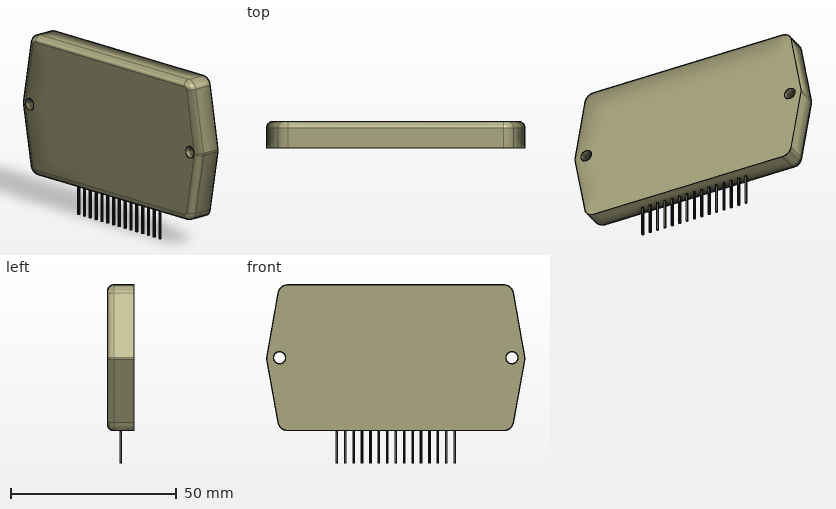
import cadquery as cq
import math

body_length = 77.85
body_depth = 8.0
body_height = 44.0
end_taper = 3.9
tip_drop = 0.2
corner_radius = 3.0
tip_radius = 2.0
rear_edge_radius = 1.95

hole_diameter = 3.6
hole_spacing = 70.0

overall_height = 53.65
pin_count = 15
pin_row_span = 35.5
pin_pitch = pin_row_span / (pin_count - 1)
pin_width = 0.5
pin_embed = 1.55

tip_half_turn = math.atan(2 * end_taper / body_height)
tip_loss = tip_radius * (1 / math.cos(tip_half_turn) - 1)
sharp_tip_x = body_length / 2 + tip_loss
shoulder_x = body_length / 2 - end_taper
half_height = body_height / 2


def make_housing():
    outline = [
        (-shoulder_x, half_height),
        (shoulder_x, half_height),
        (sharp_tip_x, -tip_drop),
        (shoulder_x, -half_height),
        (-shoulder_x, -half_height),
        (-sharp_tip_x, -tip_drop),
    ]
    block = cq.Workplane("XZ").polyline(outline).close().extrude(body_depth / 2, both=True)
    block = block.edges("|Y").edges(">Z or <Z").fillet(corner_radius)
    block = block.edges("|Y").edges(">X or <X").fillet(tip_radius)
    return block.faces(">Y").edges().fillet(rear_edge_radius)


def make_mounting_holes():
    centers = [(-hole_spacing / 2, 0), (hole_spacing / 2, 0)]
    return cq.Workplane("XZ").pushPoints(centers).circle(hole_diameter / 2).extrude(body_depth, both=True)


def make_pins():
    pin_length = overall_height - body_height + pin_embed
    return (
        cq.Workplane("XY")
        .workplane(offset=half_height - overall_height)
        .rarray(pin_pitch, 0.8, pin_count, 1)
        .rect(pin_width, pin_width)
        .extrude(pin_length)
    )


result = make_housing().cut(make_mounting_holes()).union(make_pins())